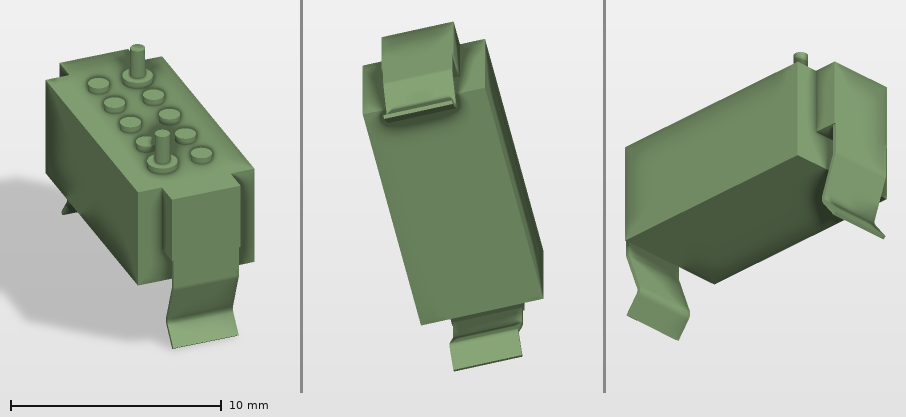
import cadquery as cq
import math

total_length = 14.1
total_height = 10.12
body_length = 11.59
body_width = 5.98
body_height = 5.1
ear_width = 3.52
ear_height = 3.35

columns = 5
rows = 2
pitch = 2.0
boss_diameter = 1.0
boss_height = 0.34

collar_diameter = 1.45
pin_diameter = 0.7
pin_height = 1.85

clip_width = 3.35
clip_thickness = 0.18
clip_bottom = pin_height - total_height
inner_bend_radius = 0.31
outer_bend_radius = inner_bend_radius + clip_thickness
upper_bend_start = -4.85
lower_bend_start = -6.98
leg_angle = math.radians(20)
foot_angle = math.radians(-37.5)


def strip_offset(angle, distance):
    """Vector across the strip, towards the housing, where it leans inward by angle."""
    return cq.Vector(distance * math.cos(angle), distance * math.sin(angle))


def make_housing():
    body = cq.Workplane("XY").box(body_length, body_width, body_height, centered=(True, True, False))
    body = body.translate((0, 0, -body_height))
    ears = cq.Workplane("XY").box(total_length, ear_width, ear_height, centered=(True, True, False))
    return body.union(ears.translate((0, 0, -ear_height)))


def make_stud(x, y, diameter, height):
    root = ear_height / 2
    return cq.Workplane("XY", origin=(x, y, -root)).circle(diameter / 2).extrude(root + height)


def make_left_clip():
    outside_x = -total_length / 2
    root_z = -ear_height / 2

    upper_centre = cq.Vector(outside_x + outer_bend_radius, upper_bend_start)

    def upper_outside(angle):
        return upper_centre - strip_offset(angle, outer_bend_radius)

    def upper_inside(angle):
        return upper_centre - strip_offset(angle, inner_bend_radius)

    upper_end = upper_outside(leg_angle)
    leg_run = (upper_end.y - lower_bend_start) * math.tan(leg_angle)
    lower_start = cq.Vector(upper_end.x + leg_run, lower_bend_start)

    lower_centre = lower_start - strip_offset(leg_angle, inner_bend_radius)

    def lower_outside(angle):
        return lower_centre + strip_offset(angle, inner_bend_radius)

    def lower_inside(angle):
        return lower_centre + strip_offset(angle, outer_bend_radius)

    lower_end = lower_outside(foot_angle)
    tip_z = clip_bottom - clip_thickness * math.sin(foot_angle)
    foot_run = (lower_end.y - tip_z) * math.tan(foot_angle)
    tip_outside = cq.Vector(lower_end.x + foot_run, tip_z)
    tip_inside = tip_outside + strip_offset(foot_angle, clip_thickness)

    upper_middle = leg_angle / 2
    lower_middle = (leg_angle + foot_angle) / 2

    profile = (
        cq.Workplane("XZ", origin=(0, clip_width / 2, 0))
        .moveTo(outside_x, root_z)
        .lineTo(outside_x, upper_bend_start)
        .threePointArc(upper_outside(upper_middle), upper_end)
        .lineTo(lower_start.x, lower_start.y)
        .threePointArc(lower_outside(lower_middle), lower_end)
        .lineTo(tip_outside.x, tip_outside.y)
        .lineTo(tip_inside.x, tip_inside.y)
        .lineTo(lower_inside(foot_angle).x, lower_inside(foot_angle).y)
        .threePointArc(lower_inside(lower_middle), lower_inside(leg_angle))
        .lineTo(upper_inside(leg_angle).x, upper_inside(leg_angle).y)
        .threePointArc(upper_inside(upper_middle), upper_inside(0))
        .lineTo(outside_x + clip_thickness, root_z)
        .close()
    )
    return profile.extrude(clip_width)


part = make_housing()

guide_positions = [(0, rows - 1), (columns - 1, 0)]
for column in range(columns):
    for row in range(rows):
        x = (column - (columns - 1) / 2) * pitch
        y = (row - (rows - 1) / 2) * pitch
        if (column, row) in guide_positions:
            part = part.union(make_stud(x, y, collar_diameter, boss_height))
            part = part.union(make_stud(x, y, pin_diameter, pin_height))
        else:
            part = part.union(make_stud(x, y, boss_diameter, boss_height))

left_clip = make_left_clip()
right_clip = left_clip.mirror("YZ")
result = part.union(left_clip).union(right_clip)